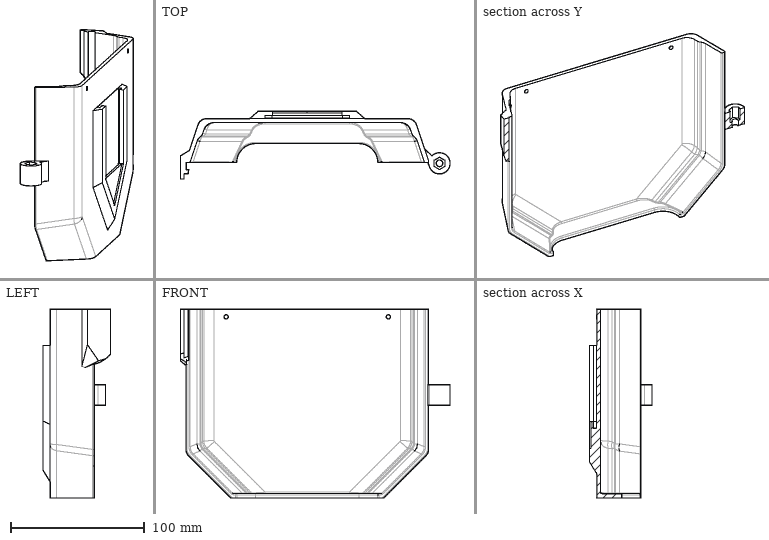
import cadquery as cq
import math

OVERALL_WIDTH = 201.99
OVERALL_DEPTH = 50.8

TRAY_HEIGHT = 141.5
TRAY_DEPTH = 33.0
FLARE = 1 / 3
RIM_HALF_WIDTH = 91.3
RIM_SLANT_CORNER = 57.75
BACK_THICKNESS = 3.0
BOTTOM_THICKNESS = 3.5
RIM_WALL = 3.5
SLANT_EXTRA_WALL = 0.2
UPPER_EXTRA_WALL = 2.25
STEP_START_DEPTH = 12.5
STEP_END_DEPTH = 15.2
BACK_EDGE_RADIUS = 7.0
FLOOR_RADIUS = 8.0
CORNER_RADIUS = 7.0
INNER_CORNER_RADIUS = 8.0
STEP_OUTER_RADIUS = 4.0
STEP_INNER_RADIUS = 7.0
RIM_RADIUS = 1.0

CUTOUT_HALF_WIDTH = 52.7
CUTOUT_DEPTH = 14.2
CUTOUT_RADIUS = 14.0

SCREW_DIAMETER = 3.0
SCREW_X = 60.7
SCREW_FROM_TOP = 5.8

RIDGE_HEIGHT = 5.5
RIDGE_HALF_BASE = 43.1
RIDGE_HALF_TOP = 36.8
RIDGE_TOP_Z = 114.4
RIDGE_BASE_SHOULDER_Z = 55.2
SLOT_SHOULDER_Z = 57.5
SLOT_HALF_WIDTH = 31.5
SLOT_BEVEL = 5.0
SLOT_START = 0.3
SLOT_END = 2.4
NECK_HALF_WIDTH = 26.0
MOUTH_START = 4.3

HOOK_X = -95.0
HOOK_INNER_X = -90.4
HOOK_WEB_TOP = (-87.0, -23.0)
HOOK_WEB_BOTTOM = (-86.6, -26.0)
HOOK_SHOULDER_Y = -27.9
HOOK_TIP_Y = RIDGE_HEIGHT - OVERALL_DEPTH
HOOK_TIP_X = -92.2
CATCH_BACK = (-88.6, -38.3)
CATCH_FRONT = (-89.1, -41.4)
RIM_FLAT_X = -88.8
HOOK_HEIGHT = 50.0
HOOK_CORNER_START = (-28.2, 27.0)
HOOK_CORNER_END = (-36.2, 38.7)
HOOK_LOWEST = (-24.5, 44.6)
HOOK_LOWEST_X = -88.0
HOOK_NOSE_LOW = (-41.9, 37.0)
HOOK_NOSE_DROP = 33.7
HOOK_NOSE_INNER_DROP = 32.7

LUG_RADIUS = 8.0
LUG_X = HOOK_X + OVERALL_WIDTH - LUG_RADIUS
LUG_Y = -33.5
LUG_BOTTOM_Z = 69.5
LUG_HEIGHT = 15.4
LUG_WEB = [(87.2, -22.0), (93.3, -27.8), (LUG_X, LUG_Y), (91.4, -36.0), (90.0, -32.4), (88.5, -30.0)]
PIN_DIAMETER = 4.8
NUT_FLATS = 8.0
NUT_DEPTH = 10.0

DIAGONAL = math.sqrt(2)
SLANT_TURN = math.radians(45)
HEX_HALF_ANGLE = 30
BLOCK_SIZE = 2 * HOOK_HEIGHT
TOLERANCE = 0.01
EDGE_SAMPLES = (0, 0.5, 1)
CLEARANCE = 1.0


def tray_outline(half_width, bottom_z, slant_inset=0):
    """Corner points in X and Z of the hopper shape with two 45 degree lower walls.

    The 45 degree walls move inwards as far as the side walls do, plus the extra inset.
    """
    slant_x = RIM_SLANT_CORNER - DIAGONAL * (RIM_HALF_WIDTH - half_width + slant_inset)
    right = [
        (half_width, TRAY_HEIGHT),
        (half_width, half_width - slant_x),
        (slant_x + bottom_z, bottom_z),
    ]
    left = [(-x, z) for x, z in reversed(right)]
    return right + left


def lofted_layer(near_depth, near_points, far_depth, far_points):
    """Straight-sided solid between two outlines at two depths along -Y."""
    return (
        cq.Workplane("XZ", origin=(0, -near_depth, 0))
        .polyline(near_points)
        .close()
        .workplane(offset=far_depth - near_depth)
        .polyline(far_points)
        .close()
        .loft(ruled=True, combine=True)
    )


def edges_where(body, test):
    """Edges of the body that pass the test, which is given each edge and its midpoint."""
    return body.newObject([edge for edge in body.edges().vals() if test(edge, edge.positionAt(0.5))])


def is_corner_edge(edge, bottom_z):
    """True for the creases between the side walls and the 45 degree walls."""
    start, end = edge.startPoint(), edge.endPoint()
    runs_deep = abs(start.y - end.y) > CLEARANCE
    above_bottom = min(start.z, end.z) > bottom_z + CLEARANCE
    below_top = max(start.z, end.z) < TRAY_HEIGHT - CLEARANCE
    return runs_deep and above_bottom and below_top


def ring_at_depth(body, depth, bottom_z):
    """Edges at one depth, without those along the top and the bottom of the tray."""

    def on_ring(edge, middle):
        flat = all(abs(edge.positionAt(t).y + depth) < TOLERANCE for t in EDGE_SAMPLES)
        return flat and bottom_z + TOLERANCE < middle.z < TRAY_HEIGHT - TOLERANCE

    return edges_where(body, on_ring)


def make_outer():
    back_half_width = RIM_HALF_WIDTH - FLARE * TRAY_DEPTH
    body = lofted_layer(0, tray_outline(back_half_width, 0), TRAY_DEPTH, tray_outline(RIM_HALF_WIDTH, 0))
    body = edges_where(body, lambda edge, _: is_corner_edge(edge, 0)).fillet(CORNER_RADIUS)
    body = ring_at_depth(body, 0, 0).fillet(BACK_EDGE_RADIUS)
    return ring_at_depth(body, TRAY_DEPTH, 0).fillet(RIM_RADIUS)


def make_cavity():
    rim_half = RIM_HALF_WIDTH - RIM_WALL
    lower_half = rim_half - FLARE * (TRAY_DEPTH - STEP_END_DEPTH)
    upper_rim_half = rim_half - UPPER_EXTRA_WALL
    upper_half = upper_rim_half - FLARE * (TRAY_DEPTH - STEP_START_DEPTH)
    floor_half = upper_rim_half - FLARE * (TRAY_DEPTH - BACK_THICKNESS)
    sections = [
        (BACK_THICKNESS, floor_half),
        (STEP_START_DEPTH, upper_half),
        (STEP_END_DEPTH, lower_half),
        (TRAY_DEPTH, rim_half),
    ]
    outlines = [(d, tray_outline(w, BOTTOM_THICKNESS, SLANT_EXTRA_WALL)) for d, w in sections]
    body = cq.Workplane("XZ")
    for near, far in zip(outlines, outlines[1:]):
        body = body.union(lofted_layer(*near, *far))
    body = ring_at_depth(body, STEP_START_DEPTH, BOTTOM_THICKNESS).fillet(STEP_OUTER_RADIUS)
    body = ring_at_depth(body, STEP_END_DEPTH, BOTTOM_THICKNESS).fillet(STEP_INNER_RADIUS)
    body = edges_where(body, lambda edge, _: is_corner_edge(edge, BOTTOM_THICKNESS))
    body = body.fillet(INNER_CORNER_RADIUS)
    return ring_at_depth(body, BACK_THICKNESS, BOTTOM_THICKNESS).fillet(FLOOR_RADIUS)


def make_cutout():
    """Opening through the bottom wall, rounded at its two back corners."""
    return (
        cq.Workplane("XY", origin=(0, -TRAY_DEPTH, -CLEARANCE))
        .rect(2 * CUTOUT_HALF_WIDTH, 2 * CUTOUT_DEPTH)
        .extrude(BOTTOM_THICKNESS + 2 * CLEARANCE)
        .edges("|Z and >Y")
        .fillet(CUTOUT_RADIUS)
    )


def round_cutout_edge(body):
    """Rounds the upper edge of the opening in the bottom wall."""

    def on_cutout(edge, middle):
        flat = all(abs(edge.positionAt(t).z - BOTTOM_THICKNESS) < TOLERANCE for t in EDGE_SAMPLES)
        around_opening = abs(middle.x) < CUTOUT_HALF_WIDTH + TOLERANCE
        behind_rim = TOLERANCE - TRAY_DEPTH < middle.y < CUTOUT_DEPTH - TRAY_DEPTH + TOLERANCE
        return flat and around_opening and behind_rim

    return edges_where(body, on_cutout).fillet(RIM_RADIUS)


def round_inner_rim(body):
    """Rounds the inner edge of the front rim."""

    def on_inner_rim(edge, middle):
        on_front = abs(middle.y + TRAY_DEPTH) < TOLERANCE
        in_height = BOTTOM_THICKNESS - TOLERANCE < middle.z < TRAY_HEIGHT - TOLERANCE
        inside_sides = abs(middle.x) < RIM_HALF_WIDTH - RIM_WALL + TOLERANCE
        inside_slants = abs(middle.x) - middle.z < RIM_SLANT_CORNER - RIM_WALL
        return on_front and in_height and inside_sides and inside_slants

    return edges_where(body, on_inner_rim).fillet(RIM_RADIUS)


def pointed_outline(half_width, shoulder_z, top_z):
    """Straight-sided outline with a 45 degree point at the bottom."""
    return [
        (half_width, top_z),
        (half_width, shoulder_z),
        (0, shoulder_z - half_width),
        (-half_width, shoulder_z),
        (-half_width, top_z),
    ]


def slot_layer(points, start, end):
    return cq.Workplane("XZ", origin=(0, end, 0)).polyline(points).close().extrude(end - start)


def make_ridge():
    inset = RIDGE_HALF_BASE - RIDGE_HALF_TOP
    top_shoulder_z = RIDGE_BASE_SHOULDER_Z + inset * math.tan(SLANT_TURN / 2)
    ridge = lofted_layer(
        -RIDGE_HEIGHT,
        pointed_outline(RIDGE_HALF_TOP, top_shoulder_z, RIDGE_TOP_Z),
        0,
        pointed_outline(RIDGE_HALF_BASE, RIDGE_BASE_SHOULDER_Z, RIDGE_TOP_Z),
    )
    slot_points = [
        (SLOT_HALF_WIDTH, RIDGE_TOP_Z),
        (SLOT_HALF_WIDTH, SLOT_SHOULDER_Z),
        (SLOT_HALF_WIDTH - SLOT_BEVEL, SLOT_SHOULDER_Z - SLOT_BEVEL),
        (SLOT_BEVEL - SLOT_HALF_WIDTH, SLOT_SHOULDER_Z - SLOT_BEVEL),
        (-SLOT_HALF_WIDTH, SLOT_SHOULDER_Z),
        (-SLOT_HALF_WIDTH, RIDGE_TOP_Z),
    ]
    neck_points = [
        (NECK_HALF_WIDTH, RIDGE_TOP_Z),
        (NECK_HALF_WIDTH, SLOT_SHOULDER_Z),
        (-NECK_HALF_WIDTH, SLOT_SHOULDER_Z),
        (-NECK_HALF_WIDTH, RIDGE_TOP_Z),
    ]
    mouth_points = pointed_outline(NECK_HALF_WIDTH, SLOT_SHOULDER_Z, RIDGE_TOP_Z)
    return (
        ridge.cut(slot_layer(slot_points, SLOT_START, SLOT_END))
        .cut(slot_layer(neck_points, SLOT_END, MOUTH_START))
        .cut(slot_layer(mouth_points, MOUTH_START, RIDGE_HEIGHT))
    )


def below_plane(p, q, r):
    """Large block on the lower side of the plane through three points."""
    p, q, r = (cq.Vector(*point) for point in (p, q, r))
    normal = (q - p).cross(r - p)
    if normal.z > 0:
        normal = normal * -1
    return cq.Workplane(cq.Plane(p, q - p, normal)).rect(BLOCK_SIZE, BLOCK_SIZE).extrude(BLOCK_SIZE)


def make_hook():
    profile = [
        HOOK_WEB_TOP,
        (HOOK_X, HOOK_SHOULDER_Y),
        (HOOK_X, HOOK_TIP_Y),
        (HOOK_TIP_X, HOOK_TIP_Y),
        (HOOK_TIP_X, CATCH_FRONT[1]),
        CATCH_FRONT,
        CATCH_BACK,
        (HOOK_INNER_X, CATCH_BACK[1]),
        (HOOK_INNER_X, -TRAY_DEPTH),
        (RIM_FLAT_X, -TRAY_DEPTH),
        HOOK_WEB_BOTTOM,
    ]
    base = cq.Workplane("XY", origin=(0, 0, TRAY_HEIGHT - HOOK_HEIGHT))
    hook = base.polyline(profile).close().extrude(HOOK_HEIGHT)

    def end_point(x, y, drop):
        return (x, y, TRAY_HEIGHT - drop)

    corner_start = end_point(HOOK_X, *HOOK_CORNER_START)
    corner_end = end_point(HOOK_X, *HOOK_CORNER_END)
    lowest = end_point(HOOK_LOWEST_X, *HOOK_LOWEST)
    nose_low = end_point(HOOK_X, *HOOK_NOSE_LOW)
    nose_front = end_point(HOOK_X, HOOK_TIP_Y, HOOK_NOSE_DROP)
    nose_inner = end_point(HOOK_TIP_X, HOOK_TIP_Y, HOOK_NOSE_INNER_DROP)
    return (
        hook.cut(below_plane(corner_start, corner_end, lowest))
        .cut(below_plane(corner_end, lowest, nose_low))
        .cut(below_plane(nose_low, nose_front, nose_inner))
    )


def make_lug():
    base = cq.Workplane("XY", origin=(0, 0, LUG_BOTTOM_Z))
    web = base.polyline(LUG_WEB).close().extrude(LUG_HEIGHT)
    barrel = base.center(LUG_X, LUG_Y).circle(LUG_RADIUS).extrude(LUG_HEIGHT)
    pin = base.center(LUG_X, LUG_Y).circle(PIN_DIAMETER / 2).extrude(LUG_HEIGHT)
    nut = (
        cq.Workplane("XY", origin=(LUG_X, LUG_Y, LUG_BOTTOM_Z + LUG_HEIGHT))
        .transformed(rotate=(0, 0, HEX_HALF_ANGLE))
        .polygon(6, NUT_FLATS / math.cos(math.radians(HEX_HALF_ANGLE)))
        .extrude(-NUT_DEPTH)
    )
    return barrel.union(web).cut(pin).cut(nut)


def make_screw_holes():
    return (
        cq.Workplane("XZ", origin=(0, 0, TRAY_HEIGHT - SCREW_FROM_TOP))
        .pushPoints([(-SCREW_X, 0), (SCREW_X, 0)])
        .circle(SCREW_DIAMETER / 2)
        .extrude(BACK_THICKNESS)
    )


tray = make_outer().cut(make_cavity()).cut(make_cutout())
tray = round_inner_rim(round_cutout_edge(tray))
result = tray.cut(make_screw_holes()).union(make_ridge()).union(make_hook()).union(make_lug())